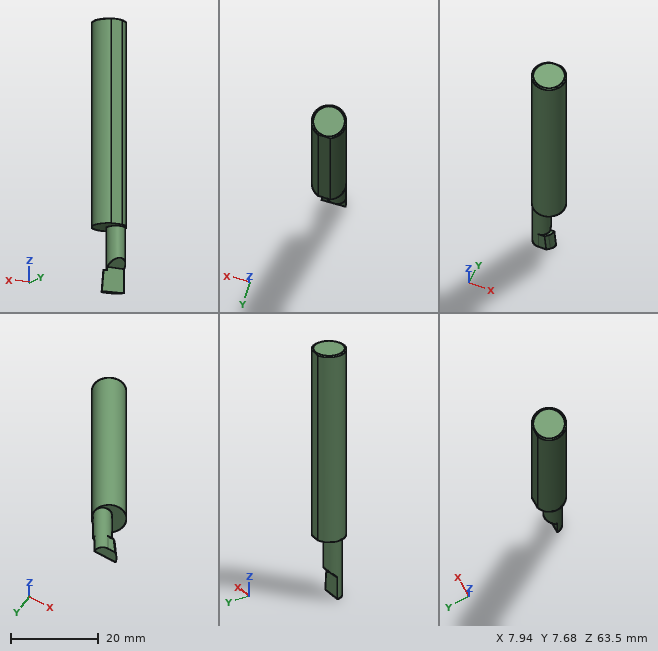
import cadquery as cq
import math


overall_length = 63.49
shank_diameter = 7.94
shank_length = 48.25
flat_offset = 3.71
chamfer_width = 0.4
chamfer_height = 0.25

neck_diameter = 4.4
rake_run_out_height = 5.85
run_out_angle = 41.0

head_height = 5.1
edge_tip_x = 1.8
edge_lean = 0.45
land_end_x = 0.27
relief_corner = (0.98, -1.6)
relief_bulge = 0.13
end_relief_x = 2.0
end_relief_y = 6.0

shank_radius = shank_diameter / 2
neck_radius = neck_diameter / 2
neck_x = neck_radius - shank_radius
shank_bottom = overall_length - shank_length
clearance = 2 * shank_diameter


def make_shank():
    profile = [
        (0, shank_bottom),
        (shank_radius, shank_bottom),
        (shank_radius, overall_length - chamfer_height),
        (shank_radius - chamfer_width, overall_length),
        (0, overall_length),
    ]
    shank = cq.Workplane("XZ").polyline(profile).close().revolve(360, (0, 0), (0, 1))
    flat_cutter = (
        cq.Workplane("XY", origin=(0, flat_offset, shank_bottom))
        .rect(shank_diameter, clearance)
        .extrude(shank_length)
        .translate((0, clearance / 2, 0))
    )
    return shank.cut(flat_cutter)


def make_neck():
    neck = cq.Workplane("XY").center(neck_x, 0).circle(neck_radius).extrude(shank_bottom)
    run_out_rise = clearance * math.tan(math.radians(run_out_angle))
    rake_cutter = (
        cq.Workplane("YZ", origin=(-clearance, 0, 0))
        .polyline([
            (0, 0),
            (0, rake_run_out_height),
            (clearance, rake_run_out_height + run_out_rise),
            (clearance, 0),
        ])
        .close()
        .extrude(2 * clearance)
    )
    return neck.cut(rake_cutter)


def head_section(height, lean):
    """Closed outline of the head at a height, with its cutting side moved back by lean."""
    land_x = land_end_x - lean
    relief_x, relief_y = relief_corner[0] - lean, relief_corner[1]
    edge_x = edge_tip_x - lean
    chord = math.hypot(edge_x - relief_x, relief_y)
    bulge_x = (relief_x + edge_x) / 2 - relief_bulge * relief_y / chord
    bulge_y = relief_y / 2 - relief_bulge * (edge_x - relief_x) / chord
    return (
        cq.Workplane("XY", origin=(0, 0, height))
        .moveTo(neck_x, 0)
        .lineTo(neck_x, -neck_radius)
        .lineTo(land_x, -neck_radius)
        .lineTo(relief_x, relief_y)
        .threePointArc((bulge_x, bulge_y), (edge_x, 0))
        .close()
        .wire()
        .val()
    )


def make_head():
    sections = [head_section(0, 0), head_section(head_height, edge_lean)]
    return cq.Workplane(cq.Solid.makeLoft(sections, True))


def make_end_relief_cutter():
    """Block whose top face passes through the tip and rises towards -X and -Y."""
    slope_x = math.tan(math.radians(end_relief_x))
    slope_y = math.tan(math.radians(end_relief_y))
    end_plane = cq.Plane(
        origin=(edge_tip_x, 0, 0),
        xDir=(1, 0, -slope_x),
        normal=(slope_x, slope_y, 1),
    )
    return cq.Workplane(end_plane).rect(2 * clearance, 2 * clearance).extrude(-clearance)


cutting_end = make_neck().union(make_head()).cut(make_end_relief_cutter())
result = make_shank().union(cutting_end)